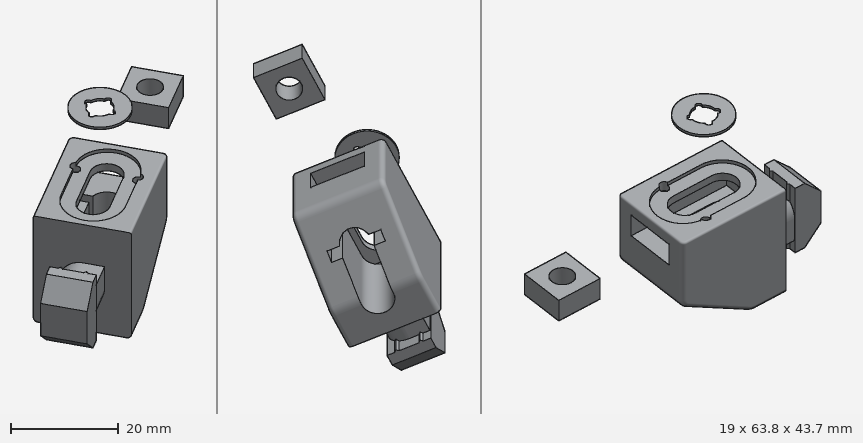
import cadquery as cq
import math


block_width = 19.0
block_length = 25.0
block_height = 25.0
slope_angle = 30.0
rear_face_bottom = 9.6
rear_corner_radius = 2.3
bottom_corner_radius = 3.6
side_edge_radius = 1.0
top_edge_radius = 0.45

seat_width = 12.5
seat_length = 22.0
seat_center_y = 12.3
seat_depth = 0.75
slot_width = 6.45
slot_length = 15.6
slot_center_y = 12.05
pin_hole_diameter = 2.0
pin_hole_spacing = 12.1
pin_hole_y = 16.6
pin_hole_depth = 2.2

nut_width = 10.0
nut_height = 5.0
nut_hole_diameter = 5.0
nut_gap = 16.2

roof_thickness = 1.7
channel_side_clearance = 0.5
channel_width = nut_width + 2 * channel_side_clearance
channel_height = nut_height
channel_top = block_height - seat_depth - roof_thickness
channel_floor = channel_top - channel_height
slot_front_axis_y = slot_center_y - (slot_length - slot_width) / 2
channel_front_y = slot_front_axis_y - channel_width / 2

slit_length = 2.0
slit_center_y = 16.85

clamp_center_z = 11.05
stem_width = 8.6
stem_height = 9.8
stem_length = 6.3
stem_corner_radius = 4.5
head_width = 9.0
head_height = 15.55
head_length = 6.25
head_chamfer = 3.95
rib_spacing = 5.0
rib_width = 0.9
rib_height = 0.45

washer_diameter = 12.0
washer_thickness = 0.6
washer_bottom = 43.05
washer_hole_diameter = 5.2
notch_width = 1.35
notch_reach = 3.3
first_notch_angle = -19.0
notch_count = 4


def block_body():
    """Block with a sloped underside, rounded side edges and a rounded top."""
    slope_run = rear_face_bottom / math.tan(math.radians(slope_angle))
    body = (
        cq.Workplane("YZ")
        .polyline([
            (0, 0),
            (block_length - slope_run, 0),
            (block_length, rear_face_bottom),
            (block_length, block_height),
            (0, block_height),
        ])
        .close()
        .extrude(block_width / 2, both=True)
    )
    rear_corner = cq.selectors.NearestToPointSelector((0, block_length, rear_face_bottom))
    body = body.edges(rear_corner).fillet(rear_corner_radius)
    bottom_corner = cq.selectors.NearestToPointSelector((0, block_length - slope_run, 0))
    body = body.edges(bottom_corner).fillet(bottom_corner_radius)
    body = body.faces("<X or >X").edges("not (<Y or >Z)").fillet(side_edge_radius)
    return body.faces(">Z").edges("not <Y").fillet(top_edge_radius)


def lengthwise_slot(width, length, center_y, bottom, height):
    """Upright cutter with a round-ended outline along Y."""
    return (
        cq.Workplane("XY", origin=(0, center_y, bottom))
        .slot2D(length, width, 90)
        .extrude(height)
    )


def pin_holes():
    return (
        cq.Workplane("XY", origin=(0, pin_hole_y, block_height))
        .pushPoints([(-pin_hole_spacing / 2, 0), (pin_hole_spacing / 2, 0)])
        .circle(pin_hole_diameter / 2)
        .extrude(-pin_hole_depth)
    )


def nut_channel():
    """Channel that takes the nut from the rear of the block."""
    return cq.Workplane("XY").box(
        channel_width, block_length - channel_front_y, channel_height, centered=(True, False, False)
    ).translate((0, channel_front_y, channel_floor))


def floor_slit():
    return cq.Workplane("XY").box(
        channel_width, slit_length, channel_floor, centered=(True, True, False)
    ).translate((0, slit_center_y, 0))


def clamp_stem():
    """Stem with two diagonally opposite corners rounded, so that it can turn in a groove."""
    stem = (
        cq.Workplane("XZ", origin=(0, 0, clamp_center_z))
        .rect(stem_width, stem_height)
        .extrude(stem_length)
    )
    for side in (-1, 1):
        corner = (side * stem_width / 2, -stem_length / 2, clamp_center_z - side * stem_height / 2)
        stem = stem.edges(cq.selectors.NearestToPointSelector(corner)).fillet(stem_corner_radius)
    return stem


def clamp_head():
    """Head with two chamfered front edges and two pointed ribs on its rear face."""
    head = (
        cq.Workplane("XZ", origin=(0, -stem_length, clamp_center_z))
        .rect(head_width, head_height)
        .extrude(head_length)
        .faces("<Y")
        .edges("|X")
        .chamfer(head_chamfer)
    )
    for side in (-1, 1):
        rib = (
            cq.Workplane("XY", origin=(side * rib_spacing / 2, -stem_length, clamp_center_z))
            .polyline([(-rib_width / 2, 0), (rib_width / 2, 0), (0, rib_height)])
            .close()
            .extrude(head_height / 2, both=True)
        )
        head = head.union(rib)
    return head


def make_housing():
    """Block and clamp head as one solid."""
    seat_floor = block_height - seat_depth
    return (
        block_body()
        .cut(lengthwise_slot(seat_width, seat_length, seat_center_y, seat_floor, seat_depth))
        .cut(lengthwise_slot(slot_width, slot_length, slot_center_y, 0, block_height))
        .cut(pin_holes())
        .cut(nut_channel())
        .cut(floor_slit())
        .union(clamp_stem())
        .union(clamp_head())
    )


def make_nut():
    """Square nut placed behind the block, level with the channel."""
    center_y = block_length + nut_gap + nut_width / 2
    return (
        cq.Workplane("XY", origin=(0, center_y, channel_top - nut_height))
        .rect(nut_width, nut_width)
        .circle(nut_hole_diameter / 2)
        .extrude(nut_height)
    )


def make_washer():
    """Round washer above the slot; its hole has round-ended notches."""
    plane = cq.Workplane("XY", origin=(0, slot_center_y, washer_bottom))
    washer = (
        plane.circle(washer_diameter / 2)
        .circle(washer_hole_diameter / 2)
        .extrude(washer_thickness)
    )
    for index in range(notch_count // 2):
        angle = first_notch_angle + index * 360 / notch_count
        washer = washer.cut(plane.slot2D(2 * notch_reach, notch_width, angle).extrude(washer_thickness))
    return washer


housing = make_housing()
nut = make_nut()
washer = make_washer()

result = cq.Compound.makeCompound([housing.val(), nut.val(), washer.val()])